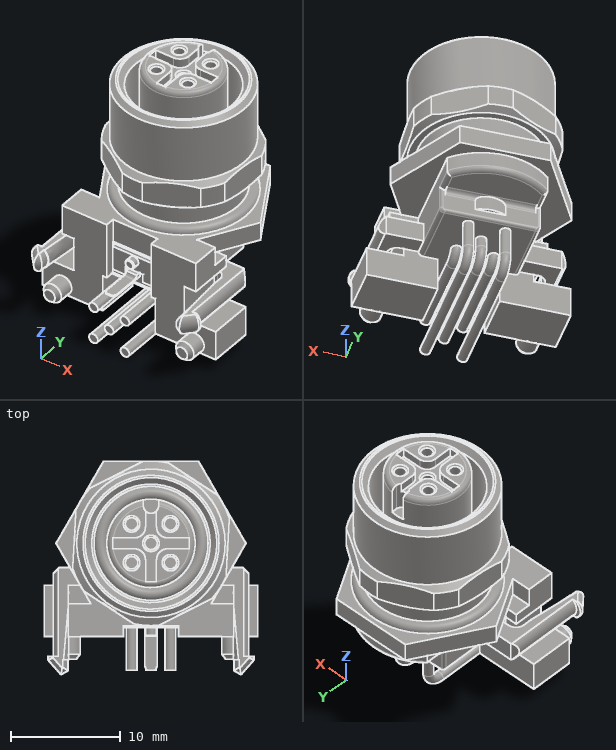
import cadquery as cq
import math


SHELL_TOP = 12.5
SHELL_RADIUS = 6.76
SHELL_CHAMFER_WIDTH = 0.56
SHELL_CHAMFER_HEIGHT = 0.45
NECK_RADIUS = 6.0
BORE_RADIUS = 5.4
BORE_MOUTH_RADIUS = 6.0
BORE_FLOOR = 4.0
BEAD_RADIUS = 0.6
BEAD_CENTER_RADIUS = 4.6

NUT_BOTTOM = 3.0
NUT_TOP = 6.0
NUT_FLATS = 14.0
NUT_CORNER_RADIUS = 7.5
NUT_BEVEL = 0.43
NUT_TURN = -3.2

SEAL_CENTER_RADIUS = 6.3
SEAL_RADIUS = 0.68
FLANGE_FLATS = 15.0
FLANGE_THICKNESS = 2.0

INSERT_TOP = 14.0
INSERT_RADIUS = 4.03
INSERT_ROUND = 0.53
CROSS_RADIUS = INSERT_RADIUS - INSERT_ROUND
CROSS_WIDTH = 1.0
CROSS_CORNER = 1.0
CROSS_DEPTH = 1.0
KEYWAY_RADIUS = 0.69
KEYWAY_CENTER_Y = 3.42
KEYWAY_DEPTH = 3.0
CONTACT_PITCH = 1.77
CONTACT_CORNERS = [(sx * CONTACT_PITCH, sy * CONTACT_PITCH) for sx in (-1, 1) for sy in (-1, 1)]
CONTACT_PLACES = [(0, 0)] + CONTACT_CORNERS
CONTACT_RADIUS = 0.57
CONTACT_MOUTH_RADIUS = 0.75
CONTACT_DEPTH = 4.0

CARRIER_HALF_WIDTH = 4.8
CARRIER_BACK = 2.91
CARRIER_FRONT = -FLANGE_FLATS / 2
CARRIER_BOTTOM = -6.48
CARRIER_ROUND = 0.45
CARRIER_BACK_ROUND = 0.26
SKIRT_RADIUS = 7.0
SKIRT_BOTTOM = -4.0
SKIRT_ROUND = 0.5
BACK_ROUND_RADIUS = 3.25
BACK_ROUND_BOTTOM = -5.55
FRONT_LIP_TOP = -2.5
FRONT_LIP_THICKNESS = 0.05
FRONT_PANEL_TOP = -2.65
FRONT_PANEL_BOTTOM = -5.5
FRONT_PANEL_HALF_WIDTH = 2.4
FRONT_PANEL_THICKNESS = 0.2
FRONT_PANEL_BEVEL_HEIGHT = 0.25
FRONT_PANEL_BEVEL_DEPTH = 0.15
PANEL_NOTCH_WIDTH = 2.0
TONGUE_ROOT_TOP = -4.62
TONGUE_TOP = -4.94
TONGUE_BOTTOM = -5.06
TONGUE_HALF_WIDTH = 0.59
TONGUE_TIP_LENGTH = 0.4
TONGUE_TIP_TAPER = 0.2
STUD_Z = -3.5
STUD_RADIUS = 0.5
STUD_FRONT = -8.45
STUD_CHAMFER = 0.08

BRACKET_FRONT = -8.5
BRACKET_BACK = -3.8
BRACKET_INNER = 2.5
GAP_HALF_WIDTH = 2.95
GAP_TOP = -6.03
SHOULDER_OUTER = 7.53
SHOULDER_BOTTOM = -3.2
SHOULDER_STEP_Y = -5.5
COLUMN_OUTER = 6.2
FOOT_OUTER = 9.75
FOOT_TOP = -6.82
FOOT_BOTTOM = -10.0
PEG_X = 7.45
PEG_Z = -9.0
PEG_RADIUS = 1.01
PEG_TIP_RADIUS = 0.64
PEG_LENGTH = 2.08
PEG_CHAMFER = 0.48

ARM_TOP = -4.0
ARM_BOTTOM = -6.03
ARM_OUTER = 8.93
ARM_INNER = 7.55
ARM_BULGE = 0.48
ARM_BACK = -2.2
ARM_TAPER_START = -5.8
ARM_TAPER_BULGE = 0.02
ARM_TIP = -11.6
ARM_TIP_INNER = 7.97
ARM_CORNER_CHAMFER = 0.55
ARM_BRIDGE_THICKNESS = ARM_BACK - BRACKET_BACK
ARM_BRIDGE_FILLET = 1.0
HOOK_OUTER = 9.4
HOOK_BACK = -10.3
HOOK_EDGE_FRONT = -10.63
HOOK_TIP_X = 8.2
HOOK_TIP_Y = -11.99

PIN_RADIUS = 0.5
PIN_START_Z = -5.0
PIN_END = -11.58
PIN_BEND_RADIUS = 1.45
PIN_CENTER_Z = -9.0


def box(x0, x1, y0, y1, z0, z1):
    """Axis-aligned block between two opposite corners."""
    return cq.Workplane("XY").box(x1 - x0, y1 - y0, z1 - z0, centered=False).translate((x0, y0, z0))


def cylinder(radius, z0, z1, x=0.0, y=0.0):
    """Upright cylinder from z0 to z1."""
    return cq.Workplane("XY", origin=(x, y, z0)).circle(radius).extrude(z1 - z0)


def torus(center_radius, tube_radius, z):
    """Ring around the socket axis."""
    tube = cq.Workplane("XZ").center(center_radius, z).circle(tube_radius)
    return tube.revolve(360, (-center_radius, 0, 0), (-center_radius, 1, 0))


def hexagon(across_flats, z0, z1):
    """Hexagonal prism with corners on the X axis and flats facing +Y and -Y."""
    corner_diameter = across_flats / math.cos(math.pi / 6)
    return cq.Workplane("XY", origin=(0, 0, z0)).polygon(6, corner_diameter).extrude(z1 - z0)


def both_sides(left):
    """A left-hand solid together with its mirror image across the YZ plane."""
    return left.union(left.mirror("YZ"))


def make_shell():
    shell_edge = SHELL_TOP - SHELL_CHAMFER_HEIGHT
    profile = [
        (0, 0),
        (NECK_RADIUS, 0),
        (NECK_RADIUS, NUT_BOTTOM),
        (SHELL_RADIUS, NUT_BOTTOM),
        (SHELL_RADIUS, shell_edge),
        (SHELL_RADIUS - SHELL_CHAMFER_WIDTH, SHELL_TOP),
        (BORE_MOUTH_RADIUS, SHELL_TOP),
        (BORE_RADIUS, SHELL_TOP - (BORE_MOUTH_RADIUS - BORE_RADIUS)),
        (BORE_RADIUS, BORE_FLOOR),
        (0, BORE_FLOOR),
    ]
    shell = cq.Workplane("XZ").polyline(profile).close().revolve(360, (0, 0, 0), (0, 1, 0))
    return shell.union(torus(BEAD_CENTER_RADIUS, BEAD_RADIUS, BORE_FLOOR))


def make_nut():
    bevel_radius = NUT_CORNER_RADIUS - NUT_BEVEL / math.tan(math.pi / 6)
    profile = [
        (NECK_RADIUS, NUT_BOTTOM),
        (bevel_radius, NUT_BOTTOM),
        (NUT_CORNER_RADIUS, NUT_BOTTOM + NUT_BEVEL),
        (NUT_CORNER_RADIUS, NUT_TOP - NUT_BEVEL),
        (bevel_radius, NUT_TOP),
        (NECK_RADIUS, NUT_TOP),
    ]
    blank = cq.Workplane("XZ").polyline(profile).close().revolve(360, (0, 0, 0), (0, 1, 0))
    corner_to_front = 30 + NUT_TURN
    flats = hexagon(NUT_FLATS, NUT_BOTTOM, NUT_TOP).rotate((0, 0, 0), (0, 0, 1), corner_to_front)
    return blank.intersect(flats)


def make_insert():
    insert = cylinder(INSERT_RADIUS, BORE_FLOOR, INSERT_TOP).faces(">Z").edges().fillet(INSERT_ROUND)

    cross_floor = INSERT_TOP - CROSS_DEPTH
    half = CROSS_WIDTH / 2
    cross = box(-CROSS_RADIUS, CROSS_RADIUS, -half, half, cross_floor, INSERT_TOP)
    cross = cross.union(cross.rotate((0, 0, 0), (0, 0, 1), 90))
    inner_corners = cq.selectors.BoxSelector((-CROSS_WIDTH, -CROSS_WIDTH, cross_floor),
                                             (CROSS_WIDTH, CROSS_WIDTH, INSERT_TOP))
    cross = cross.edges("|Z").edges(inner_corners).fillet(CROSS_CORNER)
    insert = insert.cut(cross)

    keyway_floor = INSERT_TOP - KEYWAY_DEPTH
    keyway = cylinder(KEYWAY_RADIUS, keyway_floor, INSERT_TOP, y=KEYWAY_CENTER_Y)
    keyway = keyway.union(box(-KEYWAY_RADIUS, KEYWAY_RADIUS, KEYWAY_CENTER_Y, INSERT_RADIUS,
                              keyway_floor, INSERT_TOP))
    insert = insert.cut(keyway)

    for x, y in CONTACT_PLACES:
        mouth = cross_floor if (x, y) == (0, 0) else INSERT_TOP
        chamfer = CONTACT_MOUTH_RADIUS - CONTACT_RADIUS
        hole = cylinder(CONTACT_RADIUS, mouth - CONTACT_DEPTH, mouth, x, y)
        countersink = cq.Workplane("XY", origin=(x, y, mouth - chamfer)).circle(CONTACT_RADIUS)
        countersink = countersink.workplane(offset=chamfer).circle(CONTACT_MOUTH_RADIUS).loft()
        insert = insert.cut(hole).cut(countersink)
    return insert


def make_flange():
    flange = hexagon(FLANGE_FLATS, -FLANGE_THICKNESS, 0)
    return flange.union(torus(SEAL_CENTER_RADIUS, SEAL_RADIUS, 0))


def make_carrier():
    skirt = cylinder(SKIRT_RADIUS, SKIRT_BOTTOM, -FLANGE_THICKNESS)
    skirt = skirt.intersect(box(-CARRIER_HALF_WIDTH, CARRIER_HALF_WIDTH, 0, SKIRT_RADIUS,
                                SKIRT_BOTTOM, -FLANGE_THICKNESS))
    skirt = skirt.faces("<Z").edges("not <Y").fillet(SKIRT_ROUND)

    block = box(-CARRIER_HALF_WIDTH, CARRIER_HALF_WIDTH, CARRIER_FRONT, CARRIER_BACK,
                CARRIER_BOTTOM, -FLANGE_THICKNESS)
    block = block.faces("<Z").edges("not >Y").fillet(CARRIER_ROUND)
    block = block.edges("|Z").edges(">Y").fillet(CARRIER_BACK_ROUND)
    back_round = cylinder(BACK_ROUND_RADIUS, BACK_ROUND_BOTTOM, SKIRT_BOTTOM)

    corner_y = CARRIER_BACK + SKIRT_ROUND
    corner_z = SKIRT_BOTTOM - SKIRT_ROUND
    inner_half_width = CARRIER_HALF_WIDTH - SKIRT_ROUND
    inner_corner = box(-inner_half_width, inner_half_width, CARRIER_BACK, corner_y, corner_z, SKIRT_BOTTOM)
    hollow = cq.Workplane("YZ").center(corner_y, corner_z).circle(SKIRT_ROUND)
    inner_corner = inner_corner.cut(hollow.extrude(CARRIER_HALF_WIDTH, both=True))

    lip = box(-BRACKET_INNER, BRACKET_INNER, CARRIER_FRONT - FRONT_LIP_THICKNESS, CARRIER_FRONT,
              GAP_TOP, FRONT_LIP_TOP)
    carrier = skirt.union(block).union(back_round).union(inner_corner).union(lip)
    return carrier.union(make_front_panel()).union(make_tongue()).union(make_stud())


def make_front_panel():
    panel_front = CARRIER_FRONT - FRONT_PANEL_THICKNESS
    bevel_start = panel_front + FRONT_PANEL_BEVEL_DEPTH
    profile = [
        (CARRIER_FRONT, FRONT_PANEL_BOTTOM),
        (panel_front, FRONT_PANEL_BOTTOM),
        (panel_front, FRONT_PANEL_TOP - FRONT_PANEL_BEVEL_HEIGHT),
        (bevel_start, FRONT_PANEL_TOP),
        (CARRIER_FRONT, FRONT_PANEL_TOP),
    ]
    panel = cq.Workplane("YZ").polyline(profile).close().extrude(FRONT_PANEL_HALF_WIDTH, both=True)
    notch_half = PANEL_NOTCH_WIDTH / 2
    return panel.cut(box(-notch_half, notch_half, panel_front, CARRIER_FRONT,
                         FRONT_PANEL_BOTTOM, TONGUE_ROOT_TOP))


def make_tongue():
    """Thin flat tongue that sweeps up in a concave arc to a thicker root."""
    rise = TONGUE_ROOT_TOP - TONGUE_TOP
    arc_drop = rise * math.sqrt(0.5)
    profile = cq.Workplane("YZ").moveTo(CARRIER_FRONT, TONGUE_BOTTOM).lineTo(PIN_END, TONGUE_BOTTOM)
    profile = profile.lineTo(PIN_END, TONGUE_TOP).lineTo(STUD_FRONT, TONGUE_TOP)
    profile = profile.threePointArc((STUD_FRONT + arc_drop, TONGUE_ROOT_TOP - arc_drop),
                                    (STUD_FRONT + rise, TONGUE_ROOT_TOP))
    tongue = profile.lineTo(CARRIER_FRONT, TONGUE_ROOT_TOP).close().extrude(TONGUE_HALF_WIDTH, both=True)

    tip_half_width = TONGUE_HALF_WIDTH - TONGUE_TIP_TAPER
    plan = cq.Workplane("XY", origin=(0, 0, TONGUE_BOTTOM)).polyline([
        (-TONGUE_HALF_WIDTH, CARRIER_FRONT),
        (-TONGUE_HALF_WIDTH, PIN_END + TONGUE_TIP_LENGTH),
        (-tip_half_width, PIN_END),
        (tip_half_width, PIN_END),
        (TONGUE_HALF_WIDTH, PIN_END + TONGUE_TIP_LENGTH),
        (TONGUE_HALF_WIDTH, CARRIER_FRONT),
    ]).close().extrude(TONGUE_ROOT_TOP - TONGUE_BOTTOM)
    return tongue.intersect(plan)


def make_stud():
    stud = cq.Workplane("XZ", origin=(0, CARRIER_FRONT, STUD_Z)).circle(STUD_RADIUS)
    return stud.extrude(CARRIER_FRONT - STUD_FRONT).faces("<Y").chamfer(STUD_CHAMFER)


def make_left_bracket():
    outline = [
        (-BRACKET_INNER, 0),
        (-SHOULDER_OUTER, 0),
        (-SHOULDER_OUTER, SHOULDER_BOTTOM),
        (-COLUMN_OUTER, SHOULDER_BOTTOM),
        (-COLUMN_OUTER, FOOT_TOP),
        (-FOOT_OUTER, FOOT_TOP),
        (-FOOT_OUTER, FOOT_BOTTOM),
        (-GAP_HALF_WIDTH, FOOT_BOTTOM),
        (-GAP_HALF_WIDTH, GAP_TOP),
        (-BRACKET_INNER, GAP_TOP),
    ]
    bracket = cq.Workplane("XZ", origin=(0, BRACKET_BACK, 0)).polyline(outline).close()
    bracket = bracket.extrude(BRACKET_BACK - BRACKET_FRONT)
    bracket = bracket.cut(box(-SHOULDER_OUTER, 0, SHOULDER_STEP_Y, BRACKET_BACK, -FLANGE_THICKNESS, 0))

    peg = cq.Workplane("XZ", origin=(-PEG_X, BRACKET_FRONT, PEG_Z)).circle(PEG_RADIUS).extrude(PEG_LENGTH)
    peg = peg.faces("<Y").chamfer(PEG_CHAMFER, PEG_RADIUS - PEG_TIP_RADIUS)
    return bracket.union(peg)


def arm_section(y, outer, inner_edge, inner_middle):
    """Closed arm cross-section at y: bulged outer side, inner side from flat to bulged."""
    middle = (ARM_TOP + ARM_BOTTOM) / 2
    outer_edge = outer - ARM_BULGE
    section = cq.Workplane("XZ", origin=(0, y, 0)).moveTo(-outer_edge, ARM_BOTTOM)
    section = section.threePointArc((-outer, middle), (-outer_edge, ARM_TOP))
    section = section.lineTo(-inner_edge, ARM_TOP)
    if inner_middle == inner_edge:
        section = section.lineTo(-inner_edge, ARM_BOTTOM)
    else:
        section = section.threePointArc((-inner_middle, middle), (-inner_edge, ARM_BOTTOM))
    return section.close()


def rounded_side_prism(start, end):
    """Long prism left of the plan line start-end, its bulged side touching that line."""
    reach = 10.0
    middle = (ARM_TOP + ARM_BOTTOM) / 2
    direction = cq.Vector(end[0] - start[0], end[1] - start[1], 0).normalized()
    outward = direction.cross(cq.Vector(0, 0, 1))
    plane = cq.Plane(origin=(start[0], start[1], 0), xDir=outward, normal=-direction)
    prism = cq.Workplane(plane).moveTo(-reach, ARM_BOTTOM).lineTo(-ARM_BULGE, ARM_BOTTOM)
    prism = prism.threePointArc((0, middle), (-ARM_BULGE, ARM_TOP))
    return prism.lineTo(-reach, ARM_TOP).close().extrude(reach, both=True)


def make_hook():
    outline = [
        (-HOOK_OUTER, HOOK_BACK),
        (-HOOK_OUTER, HOOK_EDGE_FRONT),
        (-HOOK_TIP_X, HOOK_TIP_Y),
        (-ARM_INNER, ARM_TIP),
        (-ARM_INNER, HOOK_BACK),
    ]
    hook = cq.Workplane("XY", origin=(0, 0, ARM_BOTTOM)).polyline(outline).close()
    hook = hook.extrude(ARM_TOP - ARM_BOTTOM)
    for start, end in zip(outline[:-1], outline[1:]):
        hook = hook.intersect(rounded_side_prism(start, end))
    return hook


def make_left_arm():
    rear = arm_section(ARM_BACK, ARM_OUTER, ARM_INNER, ARM_INNER).extrude(ARM_BACK - ARM_TAPER_START)
    corner = cq.Workplane("XY", origin=(0, 0, ARM_BOTTOM)).polyline([
        (-ARM_OUTER, ARM_BACK),
        (-ARM_OUTER + ARM_CORNER_CHAMFER, ARM_BACK),
        (-ARM_OUTER, ARM_BACK - ARM_CORNER_CHAMFER),
    ]).close().extrude(ARM_TOP - ARM_BOTTOM)
    rear = rear.cut(corner)

    taper_start = arm_section(ARM_TAPER_START, ARM_OUTER, ARM_INNER, ARM_INNER - ARM_TAPER_BULGE)
    taper_end = arm_section(HOOK_EDGE_FRONT, ARM_OUTER, ARM_TIP_INNER, ARM_TIP_INNER - ARM_BULGE)
    taper = cq.Workplane(cq.Solid.makeLoft([taper_start.wire().val(), taper_end.wire().val()], True))

    bridge_front = ARM_BACK - ARM_BRIDGE_THICKNESS
    bridge = box(-ARM_INNER, -CARRIER_HALF_WIDTH, bridge_front, ARM_BACK, ARM_BOTTOM, ARM_TOP)
    fillet_x = -ARM_INNER + ARM_BRIDGE_FILLET
    fillet_y = bridge_front - ARM_BRIDGE_FILLET
    web = box(-ARM_INNER, fillet_x, fillet_y, bridge_front, ARM_BOTTOM, ARM_TOP)
    web = web.cut(cylinder(ARM_BRIDGE_FILLET, ARM_BOTTOM, ARM_TOP, fillet_x, fillet_y))
    return rear.union(taper).union(bridge).union(web).union(make_hook())


def make_pin(x, offset):
    """Pin dropping from the carrier at y = offset and bending forward to PIN_END."""
    pin_z = PIN_CENTER_Z - offset
    bend_cut = PIN_BEND_RADIUS * (1 - math.sqrt(0.5))
    path = cq.Workplane("YZ", origin=(x, 0, 0)).moveTo(offset, PIN_START_Z)
    path = path.lineTo(offset, pin_z + PIN_BEND_RADIUS)
    path = path.threePointArc((offset - bend_cut, pin_z + bend_cut), (offset - PIN_BEND_RADIUS, pin_z))
    path = path.lineTo(PIN_END, pin_z)
    start = cq.Workplane("XY", origin=(x, offset, PIN_START_Z)).circle(PIN_RADIUS)
    return start.sweep(path)


result = make_shell().union(make_nut()).union(make_insert()).union(make_flange()).union(make_carrier())
result = result.union(both_sides(make_left_bracket())).union(both_sides(make_left_arm()))

for pin_x, pin_offset in CONTACT_PLACES:
    result = result.union(make_pin(pin_x, pin_offset))